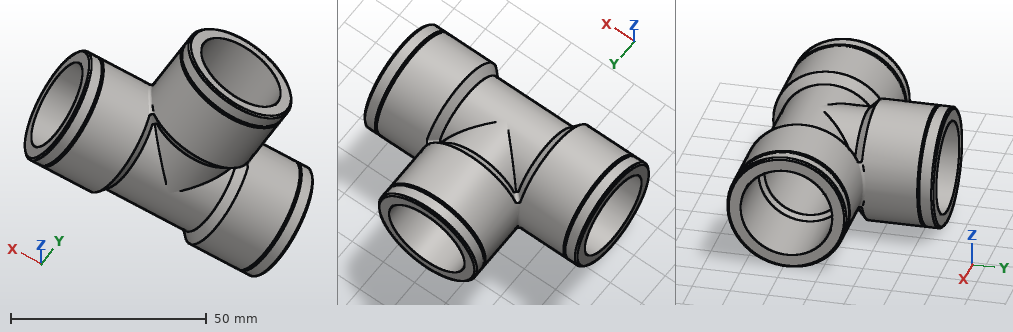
import cadquery as cq

run_length = 68.0
arm_length = run_length / 2

socket_radius = 31.35 / 2
tube_radius = 26.5 / 2
socket_length = 19.05
shoulder_length = socket_radius - tube_radius
end_chamfer = 0.5

groove_offset = 3.7
groove_width = 0.5
groove_depth = 0.3

socket_bore_radius = 24.15 / 2
tube_bore_radius = 21.7 / 2
bore_step_length = socket_bore_radius - tube_bore_radius

corner_fillet = 0.7

socket_start = arm_length - socket_length
shoulder_start = socket_start - shoulder_length

arm_directions = [(1, 0), (-1, 0), (0, 1)]


def revolve_about_arm(direction, outline):
    """Revolve a closed outline of (radius, distance along the arm) points about the arm axis."""
    dx, dy = direction
    plane = cq.Plane(origin=(0, 0, 0), xDir=(0, 0, 1), normal=(-dy, dx, 0))
    return cq.Workplane(plane).polyline(outline).close().revolve(360, (0, 0), (0, 1))


def arm_body(direction):
    return revolve_about_arm(direction, [
        (0, 0),
        (tube_radius, 0),
        (tube_radius, shoulder_start),
        (socket_radius, socket_start),
        (socket_radius, arm_length - end_chamfer),
        (socket_radius - end_chamfer, arm_length),
        (0, arm_length),
    ])


def arm_groove(direction):
    floor_radius = socket_radius - groove_depth
    clear_radius = socket_radius + groove_depth
    outer_side = arm_length - groove_offset
    inner_side = outer_side - groove_width
    return revolve_about_arm(direction, [
        (floor_radius, inner_side),
        (clear_radius, inner_side),
        (clear_radius, outer_side),
        (floor_radius, outer_side),
    ])


def arm_bore(direction):
    return revolve_about_arm(direction, [
        (0, 0),
        (tube_bore_radius, 0),
        (tube_bore_radius, socket_start - bore_step_length),
        (socket_bore_radius, socket_start),
        (socket_bore_radius, arm_length),
        (0, arm_length),
    ])


def round_inner_corners(tee):
    """Fillet the seams where the branch socket and shoulder meet those of the run arms."""
    near = shoulder_start
    far = socket_radius
    right_corner = cq.selectors.BoxSelector((near, near, -far), (far, far, far))
    left_corner = cq.selectors.BoxSelector((-far, near, -far), (-near, far, far))
    return tee.edges(right_corner + left_corner).fillet(corner_fillet)


tee = arm_body(arm_directions[0])
for direction in arm_directions[1:]:
    tee = tee.union(arm_body(direction))
tee = round_inner_corners(tee)

for direction in arm_directions:
    tee = tee.cut(arm_groove(direction)).cut(arm_bore(direction))

result = tee